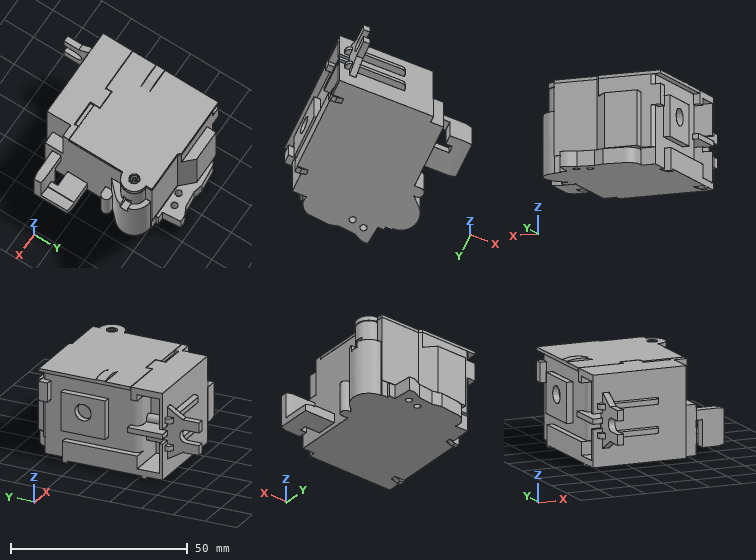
import cadquery as cq
import math

WIDTH = 32.95
HEIGHT = 26.95
BACK_Y = 39.05
STEPPED_BACK_Y = 38.2
SLOPE_END_X = 19.9
WALL_X = 2.0
WALL_CHAMFER = 1.0
SEAM_GAP = 0.1

FRONT_END_Y = 10.0
FRONT_STEP_X = 28.95
LOWER_STEP_Y = 2.0
LOWER_STEP_TOP = 15.0
UPPER_STEP_Y = 8.0

COVER_THICKNESS = 1.0
COVER_Z = HEIGHT - COVER_THICKNESS
BOSS_THICKNESS = 1.55
TAB_LEFT = 13.95
TAB_RIGHT = 19.9
TAB_BACK_Y = 12.0
SLOT_RIGHT = 28.0
SLOT_FRONT_Y = 8.75

HINGE_X = WIDTH
HINGE_Y = 32.2
BOSS_RADIUS = 3.95
NECK_RADIUS = 3.85
COLLAR_RADIUS = 5.5
COLLAR_TOP = 18.0
HINGE_NOTCH_WIDTH = 2.5
HINGE_NOTCH_BOTTOM = 16.1
HINGE_NOTCH_TOP = 20.05
HINGE_NOTCH_DEPTH = 2.75
HINGE_HOLE_RADIUS = 1.55
HINGE_PIN_RADIUS = 1.05
HINGE_PIN_BORE = 0.55
HINGE_BORE_DEPTH = 1.1

WINDOW_FRONT_Y = 1.05
WINDOW_BOTTOM = 2.0
WINDOW_TOP = 25.0
WINDOW_DEPTH = 12.1
RAIL_TOP = 5.95
RAIL_BACK_Y = 31.6
RECESS_TOP = 23.0
INNER_STEP_TOP = 21.3
CLAMP_X = 6.0
CLAMP_TOP = 16.2
CLAMP_BOTTOM = 7.95
CLAMP_RADIUS = 1.5
FIN_BOTTOM = 12.7
FIN_TOP = 14.2
FIN_BACK_Y = 11.05
FRONT_NOTCH_BOTTOM = 11.2
FRONT_NOTCH_TOP = 15.7

PAD_FRONT_Y = 18.05
PAD_BACK_Y = 32.1
PAD_BOTTOM = 9.05
PAD_TOP = 21.05
PAD_HOLE_RADIUS = 2.5
PAD_HOLE_Z = 16.05
STOP_FRONT_Y = 36.2
STOP_BOTTOM = 17.05
STOP_TOP = 23.0

LUG_Z = HEIGHT / 2
LUG_LEFT = 3.0
LUG_THICKNESS = 2.0
LUG_ROOT_HALF = 8.1
LUG_ARM_HALF = 5.05
LUG_SLOT_RADIUS = 2.0
LUG_TAPER_LENGTH = 4.95
LUG_LENGTH = 10.0
LUG_SLOT_CENTER_Y = -5.95

RIB_LEFT = 1.45
RIB_RIGHT = 19.95
RIB_HEIGHT = 2.0
RIB_RADIUS = 1.5
RIB_THICKNESS = 1.55
RIB_BOTTOMS = (8.6, 17.1)

BUMP_HEIGHT = 0.65
BUMP_EDGE_HEIGHT = 0.15
BUMP_CREST_START = 2.45
BUMP_CREST_END = 5.3
BUMP_LENGTH = 7.95
BUMP_FRONT_Y = 18.05
BUMP_WIDTH = 2.95
FOOT_HEIGHT = 0.65
FOOT_CREST = 1.45
FOOT_LENGTH = 3.4
FOOT_WIDTH = 1.6
FOOT_FRONTS = (5.0, 30.0)

LEVER_FRONT_Y = 38.05
LEVER_THICKNESS = 4.45
LEVER_NOSE_START_X = 6.35
LEVER_NOSE_CORNER_X = 6.15
LEVER_NOSE_MID = (6.4, 40.75)
LEVER_NOSE_END_X = 7.45
LEVER_SHOULDER_MID = (8.5, 42.85)
LEVER_SHOULDER_END = (9.8, 43.1)
LEVER_WAVE = ((15.75, 43.7), (18.7, 43.0), (23.75, 43.55), (26.1, 44.75), (26.9, 44.95), (28.35, 44.95))
LEVER_HEEL_X = 28.85
LEVER_HEEL_RIGHT = 30.85
LEVER_HEEL_Y = 39.0
LEVER_PIVOT = (8.8, 38.45)
LEVER_PIVOT_RADIUS = 1.6
LEVER_HOLES = ((21.3, 39.55), (25.15, 40.65))
LEVER_HOLE_RADIUS = 1.0
GUARD_LEFT = 5.95
GUARD_BACK_Y = 42.15
GUARD_BOTTOM = 4.95
GUARD_TOP = 21.0

KNOB_Y = 24.05
KNOB_RADIUS = 1.55
KNOB_REACH = 3.55
KNOB_HEIGHT = 9.9
TERMINAL_RIGHT = 43.0
TERMINAL_TIP_LENGTH = 2.1
TERMINAL_TIP_INSET = 0.35
TERMINAL_BOTTOM = 1.5
BLADE_FRONT_Y = 4.5
BLADE_BACK_Y = 7.45
BLADE_TOP = 12.6
BLADE_CUT_RIGHT = 36.0
BLADE_CUT_TOP = 9.6
FLANGE_BACK_Y = 16.4
FLANGE_TOP = 4.45
FLANGE_STEP_X = 39.95
FLANGE_STEP_DROP = 0.3
FLANGE_SLOT_RIGHT = 38.0
FLANGE_SLOT_BACK_Y = 9.6


def box(x0, x1, y0, y1, z0, z1):
    """Block between the given limits."""
    return cq.Workplane("XY").box(x1 - x0, y1 - y0, z1 - z0, centered=False).translate((x0, y0, z0))


def disc(x, y, radius, z0, z1):
    """Vertical cylinder between two heights."""
    return cq.Workplane("XY").workplane(offset=z0).center(x, y).circle(radius).extrude(z1 - z0)


def prism_y(points, y0, y1):
    """Profile of (x, z) points run from y0 to y1."""
    return cq.Workplane("XZ", origin=(0, y0, 0)).polyline(points).close().extrude(y0 - y1)


def make_walls():
    """Main block: rear part set back behind the rail, and the stepped front end."""
    slope = BACK_Y - STEPPED_BACK_Y
    rear = (
        cq.Workplane("XY")
        .moveTo(WALL_X, UPPER_STEP_Y)
        .lineTo(WALL_X, BACK_Y - WALL_CHAMFER)
        .lineTo(WALL_X + WALL_CHAMFER, BACK_Y)
        .lineTo(SLOPE_END_X - slope, BACK_Y)
        .lineTo(SLOPE_END_X, STEPPED_BACK_Y)
        .lineTo(WIDTH, STEPPED_BACK_Y)
        .lineTo(WIDTH, UPPER_STEP_Y)
        .close()
        .extrude(COVER_Z)
    )
    lever_space = box(0, WIDTH, LEVER_FRONT_Y, BACK_Y, 0, GUARD_BOTTOM)
    front = box(0, FRONT_STEP_X, 0, FRONT_END_Y, 0, HEIGHT)
    upper_step = box(FRONT_STEP_X, WIDTH, UPPER_STEP_Y, FRONT_END_Y, 0, HEIGHT)
    lower_step = box(FRONT_STEP_X, WIDTH, LOWER_STEP_Y, FRONT_END_Y, 0, LOWER_STEP_TOP)
    tab = box(TAB_LEFT, TAB_RIGHT, UPPER_STEP_Y, TAB_BACK_Y, COVER_Z, HEIGHT)
    slot = box(TAB_RIGHT, SLOT_RIGHT, SLOT_FRONT_Y, FRONT_END_Y, COVER_Z, HEIGHT)
    rail = box(0, WALL_X, 0, RAIL_BACK_Y, 0, RAIL_TOP)
    walls = rear.cut(lever_space).union(front).union(upper_step).union(lower_step)
    return walls.union(tab).cut(slot).union(rail)


def make_window():
    """Opening in the left side of the front end, with the wall corner behind it rounded."""
    corner_radius = FRONT_END_Y - UPPER_STEP_Y
    opening = box(0, WINDOW_DEPTH, WINDOW_FRONT_Y, UPPER_STEP_Y, WINDOW_BOTTOM, WINDOW_TOP)
    recess = (
        cq.Workplane("XY")
        .workplane(offset=RAIL_TOP)
        .moveTo(0, UPPER_STEP_Y)
        .lineTo(WALL_X + corner_radius, UPPER_STEP_Y)
        .radiusArc((WALL_X, FRONT_END_Y), corner_radius)
        .lineTo(0, FRONT_END_Y)
        .close()
        .extrude(RECESS_TOP - RAIL_TOP)
    )
    front_notch = box(0, LUG_LEFT, 0, WINDOW_FRONT_Y, FRONT_NOTCH_BOTTOM, FRONT_NOTCH_TOP)
    return opening.union(recess).union(front_notch)


def make_clamp():
    """Round-ended clamp bar inside the window, the rounded step behind it and the fin in front."""
    bar_back_x = CLAMP_X + 2 * CLAMP_RADIUS
    low_center_z = CLAMP_BOTTOM + CLAMP_RADIUS
    high_center_z = CLAMP_TOP - CLAMP_RADIUS
    rear_step = box(bar_back_x, WINDOW_DEPTH, WINDOW_FRONT_Y, UPPER_STEP_Y, low_center_z, INNER_STEP_TOP)
    rear_step = rear_step.edges("|Y and <X and >Z").fillet(CLAMP_RADIUS)
    bar = (
        cq.Workplane("XZ", origin=(0, WINDOW_FRONT_Y, 0))
        .moveTo(CLAMP_X, low_center_z)
        .lineTo(CLAMP_X, high_center_z)
        .threePointArc((CLAMP_X + CLAMP_RADIUS, CLAMP_TOP), (bar_back_x, high_center_z))
        .lineTo(bar_back_x, low_center_z)
        .threePointArc((CLAMP_X + CLAMP_RADIUS, CLAMP_BOTTOM), (CLAMP_X, low_center_z))
        .close()
        .extrude(WINDOW_FRONT_Y - UPPER_STEP_Y)
    )
    fin_root = box(0, CLAMP_X, 0, FRONT_END_Y, FIN_BOTTOM, FIN_TOP)
    fin_tip = box(0, WALL_X, FRONT_END_Y, FIN_BACK_Y, FIN_BOTTOM, FIN_TOP)
    return rear_step.union(bar).union(fin_root).union(fin_tip)


def make_pad():
    """Square pad with a blind round hole on the left wall."""
    pad = box(0, WALL_X, PAD_FRONT_Y, PAD_BACK_Y, PAD_BOTTOM, PAD_TOP)
    hole = (
        cq.Workplane("YZ")
        .center((PAD_FRONT_Y + PAD_BACK_Y) / 2, PAD_HOLE_Z)
        .circle(PAD_HOLE_RADIUS)
        .extrude(WALL_X)
    )
    return pad.cut(hole)


def make_lug():
    """Forked lug that tapers away from the front and ends in two arms."""
    return (
        cq.Workplane("YZ", origin=(LUG_LEFT, 0, LUG_Z))
        .moveTo(0, LUG_ROOT_HALF)
        .lineTo(-LUG_TAPER_LENGTH, LUG_ARM_HALF)
        .lineTo(-LUG_LENGTH, LUG_ARM_HALF)
        .lineTo(-LUG_LENGTH, LUG_SLOT_RADIUS)
        .lineTo(LUG_SLOT_CENTER_Y, LUG_SLOT_RADIUS)
        .threePointArc((LUG_SLOT_CENTER_Y + LUG_SLOT_RADIUS, 0), (LUG_SLOT_CENTER_Y, -LUG_SLOT_RADIUS))
        .lineTo(-LUG_LENGTH, -LUG_SLOT_RADIUS)
        .lineTo(-LUG_LENGTH, -LUG_ARM_HALF)
        .lineTo(-LUG_TAPER_LENGTH, -LUG_ARM_HALF)
        .lineTo(0, -LUG_ROOT_HALF)
        .close()
        .extrude(LUG_THICKNESS)
    )


def make_rib(bottom):
    """Flat rib on the front with rounded outer corners."""
    rib = box(RIB_LEFT, RIB_RIGHT, -RIB_HEIGHT, 0, bottom, bottom + RIB_THICKNESS)
    return rib.edges("|Z and <Y").fillet(RIB_RADIUS)


def make_foot(front_y):
    """Sloped foot under the left edge."""
    profile = [(0, 0), (0, -FOOT_HEIGHT), (FOOT_CREST, -FOOT_HEIGHT), (FOOT_LENGTH, 0)]
    return prism_y(profile, front_y, front_y + FOOT_WIDTH)


def make_hinge_post():
    """Hinge collar with its 45 degree tail, the neck above it, a latch notch and the hinge pin."""
    collar = disc(HINGE_X, HINGE_Y, COLLAR_RADIUS, 0, COLLAR_TOP)
    reach = COLLAR_RADIUS * math.sqrt(0.5)
    tangent = (HINGE_X + reach, HINGE_Y - reach)
    tail_end = (HINGE_X, HINGE_Y - 2 * reach)
    tail = cq.Workplane("XY").polyline([(HINGE_X, HINGE_Y), tangent, tail_end]).close().extrude(COLLAR_TOP)
    neck = disc(HINGE_X, HINGE_Y, NECK_RADIUS, 0, HEIGHT - BOSS_THICKNESS - SEAM_GAP)
    notch = box(
        HINGE_X + HINGE_NOTCH_DEPTH,
        HINGE_X + COLLAR_RADIUS,
        HINGE_Y - HINGE_NOTCH_WIDTH / 2,
        HINGE_Y + HINGE_NOTCH_WIDTH / 2,
        HINGE_NOTCH_BOTTOM,
        HINGE_NOTCH_TOP,
    )
    pin = disc(HINGE_X, HINGE_Y, HINGE_PIN_RADIUS, 0, HEIGHT)
    bore = disc(HINGE_X, HINGE_Y, HINGE_PIN_BORE, HEIGHT - HINGE_BORE_DEPTH, HEIGHT)
    return collar.union(tail).union(neck).cut(notch).union(pin).cut(bore)


def make_guard():
    """Guard over the lever, ending in the same 45 degree slope as the back of the block."""
    height = GUARD_BACK_Y - STEPPED_BACK_Y
    return (
        cq.Workplane("XY")
        .workplane(offset=GUARD_BOTTOM)
        .moveTo(GUARD_LEFT, STEPPED_BACK_Y)
        .lineTo(GUARD_LEFT, GUARD_BACK_Y)
        .lineTo(SLOPE_END_X - height, GUARD_BACK_Y)
        .lineTo(SLOPE_END_X, STEPPED_BACK_Y)
        .close()
        .extrude(GUARD_TOP - GUARD_BOTTOM)
    )


def make_lever():
    """Waved lever with two holes, joined to the guard by a short pivot."""
    lever = (
        cq.Workplane("XY")
        .moveTo(LEVER_NOSE_START_X, LEVER_FRONT_Y)
        .lineTo(LEVER_NOSE_CORNER_X, BACK_Y)
        .threePointArc(LEVER_NOSE_MID, (LEVER_NOSE_END_X, GUARD_BACK_Y))
        .threePointArc(LEVER_SHOULDER_MID, LEVER_SHOULDER_END)
        .polyline(LEVER_WAVE, includeCurrent=True)
        .lineTo(LEVER_HEEL_X, LEVER_HEEL_Y)
        .lineTo(LEVER_HEEL_RIGHT, LEVER_HEEL_Y)
        .lineTo(LEVER_HEEL_RIGHT, LEVER_FRONT_Y)
        .close()
        .extrude(LEVER_THICKNESS)
    )
    for x, y in LEVER_HOLES:
        lever = lever.cut(disc(x, y, LEVER_HOLE_RADIUS, 0, LEVER_THICKNESS))
    return lever.union(disc(*LEVER_PIVOT, LEVER_PIVOT_RADIUS, LEVER_THICKNESS, GUARD_BOTTOM))


def make_knob():
    """Round-ended knob on the right side."""
    center_x = WIDTH + KNOB_REACH - KNOB_RADIUS
    stem = box(WIDTH, center_x, KNOB_Y - KNOB_RADIUS, KNOB_Y + KNOB_RADIUS, 0, KNOB_HEIGHT)
    return stem.union(disc(center_x, KNOB_Y, KNOB_RADIUS, 0, KNOB_HEIGHT))


def make_terminal_tip(y0, y1, z0, z1):
    """Tapered end of a terminal plate."""
    inset = 2 * TERMINAL_TIP_INSET
    origin = (TERMINAL_RIGHT - TERMINAL_TIP_LENGTH, (y0 + y1) / 2, (z0 + z1) / 2)
    return (
        cq.Workplane("YZ", origin=origin)
        .rect(y1 - y0, z1 - z0)
        .workplane(offset=TERMINAL_TIP_LENGTH)
        .rect(y1 - y0 - inset, z1 - z0 - inset)
        .loft()
    )


def make_terminal():
    """L-shaped terminal: an upright blade in front and a flat flange behind it."""
    tip_x = TERMINAL_RIGHT - TERMINAL_TIP_LENGTH
    low_top = FLANGE_TOP - FLANGE_STEP_DROP
    blade = box(WIDTH, tip_x, BLADE_FRONT_Y, BLADE_BACK_Y, TERMINAL_BOTTOM, BLADE_TOP)
    blade_cut = box(WIDTH, BLADE_CUT_RIGHT, BLADE_FRONT_Y, BLADE_BACK_Y, TERMINAL_BOTTOM, BLADE_CUT_TOP)
    blade = blade.cut(blade_cut)
    flange = box(WIDTH, FLANGE_STEP_X, BLADE_BACK_Y, FLANGE_BACK_Y, TERMINAL_BOTTOM, FLANGE_TOP)
    flange_slot = box(WIDTH, FLANGE_SLOT_RIGHT, BLADE_BACK_Y, FLANGE_SLOT_BACK_Y, TERMINAL_BOTTOM, FLANGE_TOP)
    flange = flange.cut(flange_slot)
    low_flange = box(FLANGE_STEP_X, tip_x, BLADE_BACK_Y, FLANGE_BACK_Y, TERMINAL_BOTTOM, low_top)
    blade_tip = make_terminal_tip(BLADE_FRONT_Y, BLADE_BACK_Y, TERMINAL_BOTTOM, BLADE_TOP)
    flange_tip = make_terminal_tip(BLADE_FRONT_Y, FLANGE_BACK_Y, TERMINAL_BOTTOM, low_top)
    return blade.union(flange).union(low_flange).union(blade_tip).union(flange_tip)


def make_housing():
    """Housing with everything fixed to it."""
    housing = make_walls().cut(make_window()).union(make_clamp()).union(make_pad())
    housing = housing.union(box(0, WALL_X + WALL_CHAMFER, STOP_FRONT_Y, BACK_Y, STOP_BOTTOM, STOP_TOP))
    housing = housing.union(make_lug())
    for bottom in RIB_BOTTOMS:
        housing = housing.union(make_rib(bottom))
    for front_y in FOOT_FRONTS:
        housing = housing.union(make_foot(front_y))
    housing = housing.union(make_hinge_post()).union(make_guard()).union(make_lever())
    return housing.union(make_knob()).union(make_terminal())


def make_cover():
    """Cover plate with a hinge boss, a notch for the housing tab and a latch bump."""
    slope = BACK_Y - STEPPED_BACK_Y
    front_y = FRONT_END_Y + SEAM_GAP
    plate = (
        cq.Workplane("XY")
        .workplane(offset=COVER_Z)
        .moveTo(0, front_y)
        .lineTo(0, BACK_Y)
        .lineTo(SLOPE_END_X - slope, BACK_Y)
        .lineTo(SLOPE_END_X, STEPPED_BACK_Y)
        .lineTo(WIDTH, STEPPED_BACK_Y)
        .lineTo(WIDTH, front_y)
        .close()
        .extrude(COVER_THICKNESS)
    )
    tab_notch = box(
        TAB_LEFT - SEAM_GAP, TAB_RIGHT + SEAM_GAP, front_y, TAB_BACK_Y + SEAM_GAP, COVER_Z, HEIGHT
    )
    boss_z = HEIGHT - BOSS_THICKNESS
    boss = disc(HINGE_X, HINGE_Y, BOSS_RADIUS, boss_z, HEIGHT)
    boss = boss.cut(box(0, WIDTH, 0, BACK_Y, 0, HEIGHT))
    hinge_hole = disc(HINGE_X, HINGE_Y, HINGE_HOLE_RADIUS, boss_z, HEIGHT)
    bump_profile = [
        (0, HEIGHT),
        (0, HEIGHT + BUMP_EDGE_HEIGHT),
        (BUMP_CREST_START, HEIGHT + BUMP_HEIGHT),
        (BUMP_CREST_END, HEIGHT + BUMP_HEIGHT),
        (BUMP_LENGTH, HEIGHT),
    ]
    bump = prism_y(bump_profile, BUMP_FRONT_Y, BUMP_FRONT_Y + BUMP_WIDTH)
    return plate.cut(tab_notch).union(boss).cut(hinge_hole).union(bump)


housing = make_housing()
cover = make_cover()
result = cq.Compound.makeCompound([housing.val(), cover.val()])